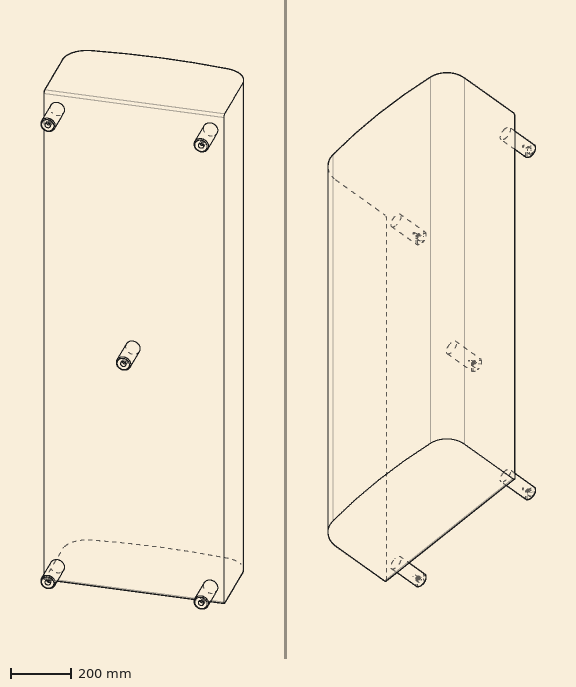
import cadquery as cq
import math

HEIGHT = 1850.0
WIDTH = 621.0
TOTAL_DEPTH = 448.0
PIN_LENGTH = 118.0
BLOCK_DEPTH = TOTAL_DEPTH - PIN_LENGTH

CROWN_RADIUS = 2035.0
CORNER_RADIUS = 85.0
EDGE_ROUND = 10.0

PIN_DIAMETER = 50.0
PIN_END_CHAMFER = 4.0
CENTER_PIN_X = -4.0
PIN_SPACING_X = 529.0
PIN_SPACING_Z = 1727.0
BORE_DIAMETER = 18.0
BORE_DEPTH = 18.0
PILOT_DIAMETER = 8.0
PILOT_DEPTH = 37.0


def make_block():
    """Tall block with a crowned back, round back corners and rounded top and bottom front edges."""
    half_width = WIDTH / 2
    corner_x = half_width - CORNER_RADIUS
    crown_y = BLOCK_DEPTH - CROWN_RADIUS
    corner_y = crown_y + math.sqrt((CROWN_RADIUS - CORNER_RADIUS) ** 2 - corner_x**2)
    crown_angle = math.atan2(corner_y - crown_y, corner_x)

    def on_corner(angle):
        return (
            corner_x + CORNER_RADIUS * math.cos(angle),
            corner_y + CORNER_RADIUS * math.sin(angle),
        )

    mid_x, mid_y = on_corner(crown_angle / 2)
    end_x, end_y = on_corner(crown_angle)
    outline = (
        cq.Workplane("XY", origin=(0, 0, -HEIGHT / 2))
        .moveTo(-half_width, 0)
        .lineTo(half_width, 0)
        .lineTo(half_width, corner_y)
        .threePointArc((mid_x, mid_y), (end_x, end_y))
        .threePointArc((0, BLOCK_DEPTH), (-end_x, end_y))
        .threePointArc((-mid_x, mid_y), (-half_width, corner_y))
        .close()
    )
    return outline.extrude(HEIGHT).faces("<Y").edges("|X").fillet(EDGE_ROUND)


def make_pin(x, z):
    """Round pin standing on the mounting face, with a chamfer and a stepped blind bore at its free end."""
    return (
        cq.Workplane("XZ", origin=(x, 0, z))
        .circle(PIN_DIAMETER / 2)
        .extrude(PIN_LENGTH)
        .faces("<Y")
        .chamfer(PIN_END_CHAMFER)
        .faces("<Y")
        .workplane(origin=(x, 0, z))
        .cboreHole(PILOT_DIAMETER, BORE_DIAMETER, BORE_DEPTH, PILOT_DEPTH)
    )


pin_places = [(CENTER_PIN_X, 0)]
for side_x in (-1, 1):
    for side_z in (-1, 1):
        pin_places.append((side_x * PIN_SPACING_X / 2, side_z * PIN_SPACING_Z / 2))

block = make_block()
pins = [make_pin(x, z) for x, z in pin_places]

result = cq.Compound.makeCompound([block.val(), *[pin.val() for pin in pins]])